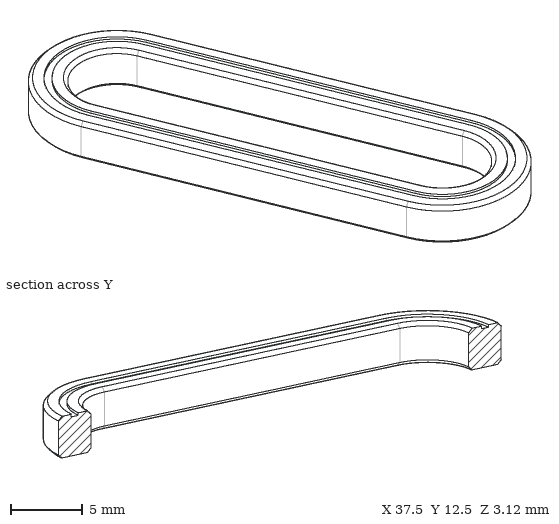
import cadquery as cq

LENGTH = 37.5
WIDTH = LENGTH / 3
HEIGHT = LENGTH / 12

WALL = 2.78
CHAMFER = 0.3

GROOVE_WIDTH = 0.55
GROOVE_DEPTH = 0.2


def slot_body(inset, bottom, height):
    """Solid with the ring's outer outline moved inward by inset."""
    return (
        cq.Workplane("XY")
        .workplane(offset=bottom)
        .slot2D(LENGTH - 2 * inset, WIDTH - 2 * inset)
        .extrude(height)
    )


def slot_ring(outer_inset, inner_inset, bottom, height):
    """Ring between two inward offsets of the outer outline."""
    outer = slot_body(outer_inset, bottom, height)
    return outer.cut(slot_body(inner_inset, bottom, height))


ring = slot_ring(0, WALL, 0, HEIGHT)
ring = ring.faces("<Z or >Z").edges().chamfer(CHAMFER)

groove_inset = (WALL - GROOVE_WIDTH) / 2
groove = slot_ring(groove_inset, groove_inset + GROOVE_WIDTH, HEIGHT - GROOVE_DEPTH, GROOVE_DEPTH)

result = ring.cut(groove)